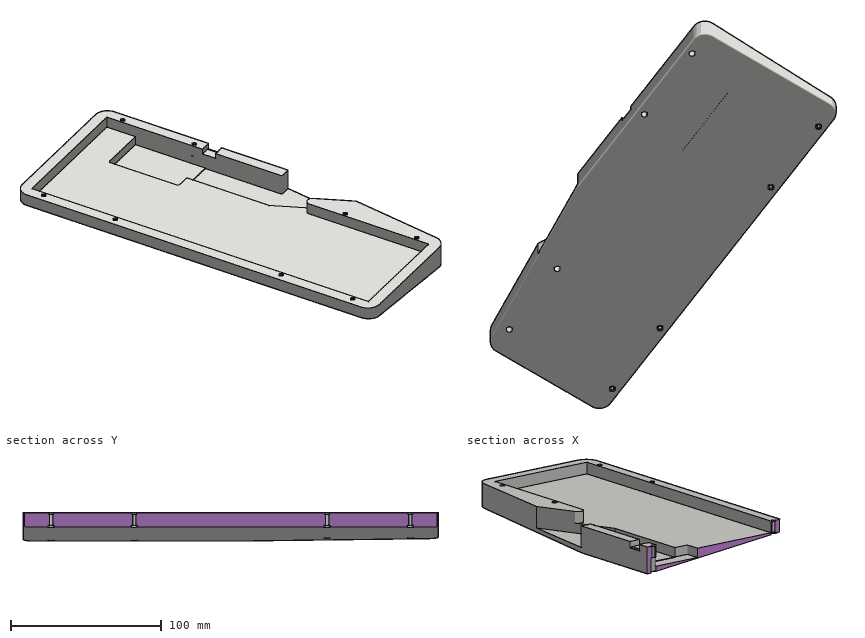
import cadquery as cq
import math

length = 275.32
depth = 113.4
corner_radius = 9.0
slope_start_x = 143.0
right_side_depth = 94.4

front_height = 9.02
tilt_angle = 5.0
bottom_fillet = 1.0

wall = 8.0
tray_depth = 8.0
right_tray_y = 86.3

bay_left_x = 83.9
bay_front_y = 81.3
bay_depth = 14.8
bay_bend_x = 147.3
bay_exit_x = 200.3
wall_end_radius = 1.5
tip_radius = 3.7

pocket_left_x = 30.0
pocket_front_y = 70.7
pocket_depth = 14.4
pocket_corner_radius = 1.5

notch_left_x = 81.7
notch_width = 10.0
notch_depth = 3.8
notch_lip = 0.8
notch_lip_depth = 4.4

hole_end_inset = 18.66
hole_spacing = 55.1
hole_wall_offset = 2.5
hole_diameter = 2.0
recess_diameter = 3.0
recess_depth = 1.0
bore_diameter = 4.0
bore_top_depth = 8.5

tilt_slope = math.tan(math.radians(tilt_angle))
rear_height = front_height + depth * tilt_slope
rear_wall_y = depth - wall
clearance = 5.0
rear_edge_slope = (right_side_depth - depth) / (length - slope_start_x)


def rear_edge_y(x):
    """Y of the sloped rear edge at a given X."""
    return depth + rear_edge_slope * (x - slope_start_x)


def prism(points, cut_depth):
    """Upright body from cut_depth below the rim to just above it."""
    return (
        cq.Workplane("XY")
        .workplane(offset=-cut_depth)
        .polyline(points)
        .close()
        .extrude(cut_depth + clearance)
    )


def box(x0, x1, y0, y1, cut_depth):
    """Rectangular prism between two X and two Y positions."""
    return prism([(x0, y0), (x1, y0), (x1, y1), (x0, y1)], cut_depth)


def make_body():
    """Solid wedge with rounded corners and a tilted, rounded-over underside."""
    outline = [
        (0, 0),
        (length, 0),
        (length, right_side_depth),
        (slope_start_x, depth),
        (0, depth),
    ]
    body = cq.Workplane("XY").polyline(outline).close().extrude(-rear_height)
    rounded_corners = [(0, 0), (length, 0), (length, right_side_depth), (0, depth)]
    for x, y in rounded_corners:
        corner = cq.selectors.NearestToPointSelector((x, y, -rear_height / 2))
        body = body.edges("|Z").edges(corner).fillet(corner_radius)
    underside = (
        cq.Workplane("YZ")
        .polyline([(0, -front_height), (depth, -rear_height),
                   (depth, -2 * rear_height), (0, -2 * rear_height)])
        .close()
        .extrude(length)
    )
    return body.cut(underside).faces("<Z").edges().fillet(bottom_fillet)


def diagonal_x(y):
    """X on the diagonal bay edge at a given Y."""
    exit_y = rear_edge_y(bay_exit_x)
    fraction = (y - bay_front_y) / (exit_y - bay_front_y)
    return bay_bend_x + fraction * (bay_exit_x - bay_bend_x)


def make_bay_outline():
    """Plan corners of the bay, running out past the rear edge on the sloped side."""
    outside_y = depth + clearance
    return [
        (bay_left_x, bay_front_y),
        (bay_bend_x, bay_front_y),
        (diagonal_x(outside_y), outside_y),
        (slope_start_x, outside_y),
        (slope_start_x, rear_wall_y),
        (bay_left_x, rear_wall_y),
    ]


def make_bay():
    """Bay body, with the free end of the rear wall rounded on its inner corner."""
    bay = prism(make_bay_outline(), bay_depth)
    wall_end = cq.selectors.NearestToPointSelector((slope_start_x, rear_wall_y, -bay_depth / 2))
    return bay.edges("|Z").edges(wall_end).fillet(wall_end_radius)


def make_tray():
    """Main floor, with a rounded tip where the right rear wall meets the diagonal."""
    tip_x = diagonal_x(right_tray_y)
    outline = [
        (wall, wall),
        (length - wall, wall),
        (length - wall, right_tray_y),
        (tip_x, right_tray_y),
        (diagonal_x(rear_wall_y), rear_wall_y),
        (wall, rear_wall_y),
    ]
    tray = prism(outline, tray_depth)
    tip = cq.selectors.NearestToPointSelector((tip_x, right_tray_y, -tray_depth / 2))
    return tray.edges("|Z").edges(tip).fillet(tip_radius)


def make_pocket():
    """Rectangular well beside the bay, against the rear wall."""
    pocket = box(pocket_left_x, bay_left_x, pocket_front_y, rear_wall_y, pocket_depth)
    return pocket.edges("|Z and <Y").fillet(pocket_corner_radius)


def make_notch():
    """Cable passage whose floor slopes down to a flat, slightly lower outer lip."""
    profile = [
        (rear_wall_y - clearance, -notch_depth),
        (depth - 2 * notch_lip, -notch_depth),
        (depth - notch_lip, -notch_lip_depth),
        (depth + clearance, -notch_lip_depth),
        (depth + clearance, clearance),
        (rear_wall_y - clearance, clearance),
    ]
    return (
        cq.Workplane("YZ")
        .workplane(offset=notch_left_x)
        .polyline(profile)
        .close()
        .extrude(notch_width)
    )


def make_holes():
    """Stepped through holes, in pairs at each end of the front and rear walls."""
    left = [hole_end_inset, hole_end_inset + hole_spacing]
    right = [length - x for x in left]
    centres = [(x, wall - hole_wall_offset) for x in left + right]
    centres += [(x, rear_wall_y + hole_wall_offset) for x in left]
    centres += [(x, right_tray_y + hole_wall_offset) for x in right]
    screw_holes = (
        cq.Workplane("XY").pushPoints(centres)
        .circle(hole_diameter / 2).extrude(-rear_height)
    )
    recesses = (
        cq.Workplane("XY").pushPoints(centres)
        .circle(recess_diameter / 2).extrude(-recess_depth)
    )
    bores = (
        cq.Workplane("XY").workplane(offset=-bore_top_depth).pushPoints(centres)
        .circle(bore_diameter / 2).extrude(-rear_height)
    )
    return screw_holes.union(recesses).union(bores)


result = make_body()
for cutter in (make_tray(), make_bay(), make_pocket(), make_notch(), make_holes()):
    result = result.cut(cutter)